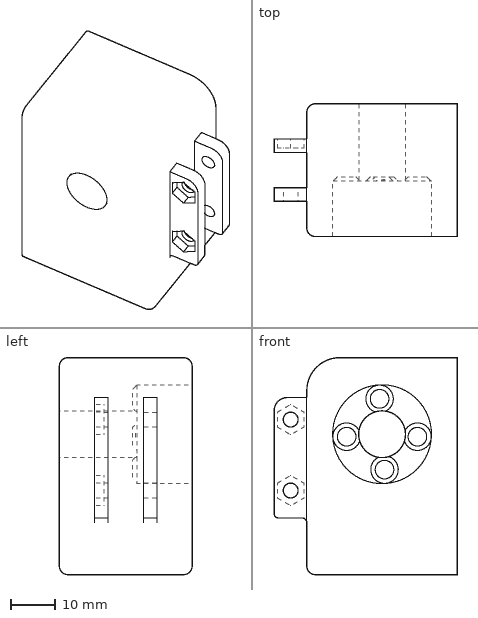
import cadquery as cq
import math

BODY_WIDTH = 34.0
BODY_DEPTH = 30.0
BODY_HEIGHT = 49.0
SHOULDER_RADIUS = 7.5
EDGE_RADIUS = 2.0

BORE_DIAMETER = 22.3
BORE_DEPTH = 12.5
BORE_X = BODY_WIDTH / 2
BORE_Z = BODY_HEIGHT - 17.3
SHAFT_HOLE_DIAMETER = 10.5

SEAT_CIRCLE_RADIUS = 8.0
SEAT_SKEW = 4.0
SEAT_ANGLES = (-SEAT_SKEW, 90 + SEAT_SKEW, 180 + SEAT_SKEW, 270 + SEAT_SKEW)
SEAT_TOP_DIAMETER = 6.2
SEAT_FLOOR_DIAMETER = 4.2
SEAT_DEPTH = (SEAT_TOP_DIAMETER - SEAT_FLOOR_DIAMETER) / 2

TAB_REACH = 7.35
TAB_THICKNESS = 3.1
TAB_SPACING = 11.0
TAB_TOP = BODY_HEIGHT - 9.0
TAB_BOTTOM = BODY_HEIGHT - 36.2
TAB_TOP_RADIUS = 3.0
TAB_BOTTOM_RADIUS = 1.0
TAB_ROOT_RADIUS = 1.0
TAB_EMBED = 1.0
TAB_HOLE_DIAMETER = 3.3
TAB_HOLE_X = -3.6
TAB_HOLE_HEIGHTS = (BODY_HEIGHT - 14.0, BODY_HEIGHT - 30.0)

NUT_ACROSS_FLATS = 5.9
NUT_ACROSS_CORNERS = NUT_ACROSS_FLATS / math.cos(math.radians(30))
NUT_SEAT_THICKNESS = 1.0
NUT_POCKET_DEPTH = TAB_THICKNESS - NUT_SEAT_THICKNESS


def cylinder_along_y(diameter, x, z, y_start, length):
    """Cylinder running in +Y from y_start."""
    return cq.Workplane(cq.Solid.makeCylinder(
        diameter / 2, length, cq.Vector(x, y_start, z), cq.Vector(0, 1, 0)))


def make_body():
    """Block with a large shoulder and rounded edges everywhere except around the +X face."""
    block = cq.Workplane("XY").box(BODY_WIDTH, BODY_DEPTH, BODY_HEIGHT, centered=(False, True, False))
    block = block.edges("<X and >Z").fillet(SHOULDER_RADIUS)
    block = block.edges("<X and <Z").fillet(EDGE_RADIUS)
    rim = block.faces("<Y or >Y").edges("not >X")
    return rim.fillet(EDGE_RADIUS)


def make_tab(y_center):
    """Upright plate with two cross holes and a small fillet under its root."""
    profile = (
        cq.Workplane("XZ", origin=(0, y_center + TAB_THICKNESS / 2, 0))
        .moveTo(TAB_EMBED, TAB_TOP)
        .lineTo(-TAB_REACH + TAB_TOP_RADIUS, TAB_TOP)
        .radiusArc((-TAB_REACH, TAB_TOP - TAB_TOP_RADIUS), -TAB_TOP_RADIUS)
        .lineTo(-TAB_REACH, TAB_BOTTOM + TAB_BOTTOM_RADIUS)
        .radiusArc((-TAB_REACH + TAB_BOTTOM_RADIUS, TAB_BOTTOM), -TAB_BOTTOM_RADIUS)
        .lineTo(-TAB_ROOT_RADIUS, TAB_BOTTOM)
        .radiusArc((0, TAB_BOTTOM - TAB_ROOT_RADIUS), TAB_ROOT_RADIUS)
        .lineTo(TAB_EMBED, TAB_BOTTOM - TAB_ROOT_RADIUS)
        .close()
    )
    tab = profile.extrude(TAB_THICKNESS)
    for z in TAB_HOLE_HEIGHTS:
        hole_start = y_center - TAB_THICKNESS / 2
        tab = tab.cut(cylinder_along_y(TAB_HOLE_DIAMETER, TAB_HOLE_X, z, hole_start, TAB_THICKNESS))
    return tab


def make_nut_pocket(z, opening_y):
    """Hexagonal prism around a tab hole, with corners up and down, sunk in -Y from opening_y."""
    return (
        cq.Workplane("XZ", origin=(TAB_HOLE_X, opening_y, z))
        .transformed(rotate=(0, 0, 90))
        .polygon(6, NUT_ACROSS_CORNERS)
        .extrude(NUT_POCKET_DEPTH)
    )


def make_screw_seat(angle, floor_y):
    """Conical recess that narrows in +Y from the bore floor."""
    x = BORE_X + SEAT_CIRCLE_RADIUS * math.cos(math.radians(angle))
    z = BORE_Z + SEAT_CIRCLE_RADIUS * math.sin(math.radians(angle))
    return cq.Workplane(cq.Solid.makeCone(
        SEAT_TOP_DIAMETER / 2, SEAT_FLOOR_DIAMETER / 2, SEAT_DEPTH,
        cq.Vector(x, floor_y, z), cq.Vector(0, 1, 0)))


def cut_bore_group(body):
    """Blind bore, shaft hole through its floor, and the screw seats around the shaft hole."""
    front_y = -BODY_DEPTH / 2
    body = body.cut(cylinder_along_y(BORE_DIAMETER, BORE_X, BORE_Z, front_y, BORE_DEPTH))
    body = body.cut(cylinder_along_y(SHAFT_HOLE_DIAMETER, BORE_X, BORE_Z, front_y, BODY_DEPTH))
    for angle in SEAT_ANGLES:
        body = body.cut(make_screw_seat(angle, front_y + BORE_DEPTH))
    return body


front_tab = make_tab(-TAB_SPACING / 2)
rear_tab = make_tab(TAB_SPACING / 2)
for hole_z in TAB_HOLE_HEIGHTS:
    rear_tab = rear_tab.cut(make_nut_pocket(hole_z, (TAB_SPACING + TAB_THICKNESS) / 2))

result = cut_bore_group(make_body()).union(front_tab).union(rear_tab)